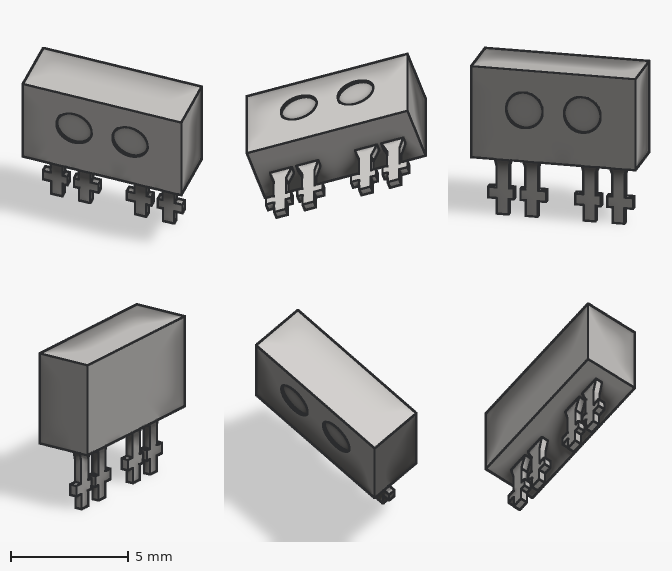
import cadquery as cq

body_length = 7.2
body_depth = 2.5
body_height = 4.1

pitch = 1.27
window_diameter = 1.6
window_recess = 0.1
window_drop = 1.8

lead_length = 2.9
lead_thickness = 0.32
lead_offset_y = 0.2
foot_width = 0.51
neck_width = 0.55
root_outward = 0.45
root_inward = 0.54
taper_length = 0.7
stop_outward = 0.63
stop_inward = 0.49
stop_top = 1.72
stop_bottom = 2.2
pair_centre = 1.5 * pitch

body_bottom_z = 0
front_y = -body_depth / 2


def make_body():
    """Rectangular housing standing on the Z = 0 plane."""
    return cq.Workplane("XY").box(body_length, body_depth, body_height, centered=(True, True, False))


def cut_windows(body):
    """Two shallow round recesses in the front face."""
    window_z = body_height - window_drop
    recesses = (
        cq.Workplane("XZ", origin=(0, front_y, 0))
        .pushPoints([(-pitch, window_z), (pitch, window_z)])
        .circle(window_diameter / 2)
        .extrude(-window_recess)
    )
    return body.cut(recesses)


def make_lead(centre_x, outward):
    """One lead; outward is -1 or +1, the X direction pointing away from its mate."""
    half_neck = neck_width / 2
    half_foot = foot_width / 2
    outline = [
        (root_outward, 0),
        (half_neck, taper_length),
        (half_neck, stop_top),
        (stop_outward, stop_top),
        (stop_outward, stop_bottom),
        (half_foot, stop_bottom),
        (half_foot, lead_length),
        (-half_foot, lead_length),
        (-half_foot, stop_bottom),
        (-stop_inward, stop_bottom),
        (-stop_inward, stop_top),
        (-half_neck, stop_top),
        (-half_neck, taper_length),
        (-root_inward, 0),
    ]
    points = [(centre_x + outward * away, body_bottom_z - below) for away, below in outline]
    return (
        cq.Workplane("XZ", origin=(0, lead_offset_y, 0))
        .polyline(points)
        .close()
        .extrude(lead_thickness / 2, both=True)
    )


result = cut_windows(make_body())
for pair_x in (-pair_centre, pair_centre):
    for side in (-1, 1):
        result = result.union(make_lead(pair_x + side * pitch / 2, side))